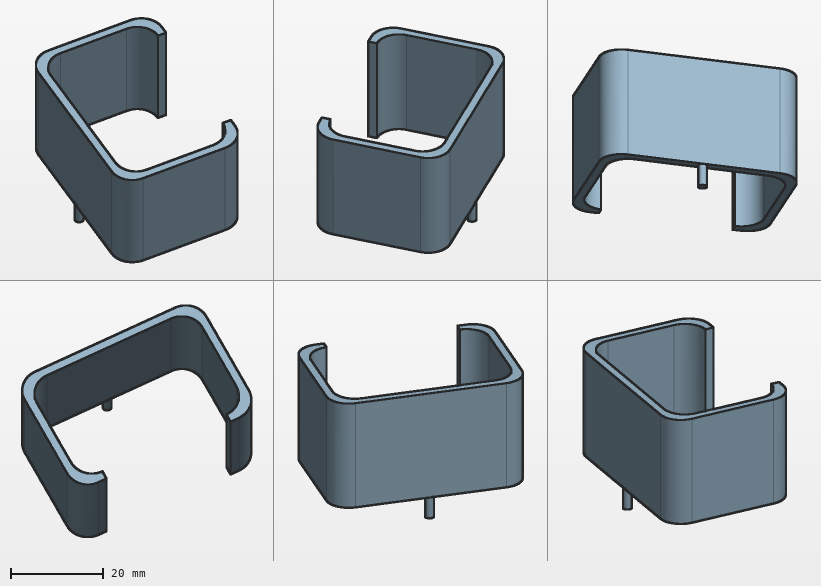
import cadquery as cq

width = 44.0
depth = 30.0
total_height = 30.0
wall = 2.0
corner_radius = 5.0
pin_length = 5.0
pin_diameter = 1.95

body_height = total_height - pin_length
inner_width = width - 2 * wall
inner_depth = depth - 2 * wall
gap_width = inner_width - 2 * corner_radius


def rounded_block(x_size, y_size):
    """Upright block with rounded vertical edges, standing on Z = 0."""
    block = cq.Workplane("XY").box(x_size, y_size, body_height, centered=(True, True, False))
    return block.edges("|Z").fillet(corner_radius)


def back_gap():
    """Cutter that opens the back wall between the two lips."""
    return (
        cq.Workplane("XY")
        .center(0, depth / 2)
        .rect(gap_width, depth)
        .extrude(body_height)
    )


def locating_pin():
    """Round pin hanging below the middle of the front wall."""
    return (
        cq.Workplane("XY")
        .center(0, (wall - depth) / 2)
        .circle(pin_diameter / 2)
        .extrude(-pin_length)
    )


sleeve = rounded_block(width, depth).cut(rounded_block(inner_width, inner_depth))
result = sleeve.cut(back_gap()).union(locating_pin())